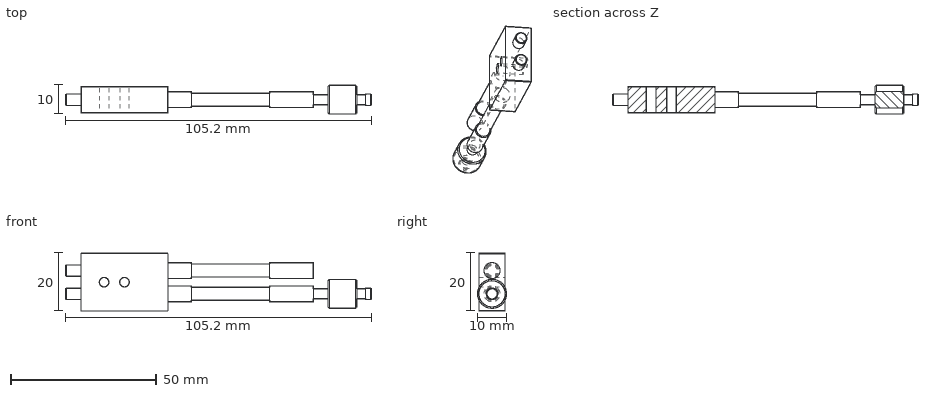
import cadquery as cq


block_length = 30.0
block_width = 9.0
block_height = 20.0
block_edge_chamfer = 0.25
cross_hole_diameter = 3.2
first_hole_x = 8.0
hole_spacing = 7.0
cross_hole_xs = [first_hole_x, first_hole_x + hole_spacing]

line_spacing = 8.0
line_heights = [-line_spacing / 2, line_spacing / 2]

pin_diameter = 4.0
pin_length = 5.25
tip_chamfer = 0.25

sleeve_diameter = 5.5
cable_diameter = 4.6
near_sleeve_length = 8.0
bare_cable_length = 27.0
far_sleeve_length = 15.0
cable_end_x = block_length + near_sleeve_length + bare_cable_length + far_sleeve_length

shaft_diameter = 3.55
collar_diameter = 10.0
collar_length = 10.0
collar_chamfer = 0.5
shaft_to_collar = 5.0
collar_to_head = 3.0
head_diameter = pin_diameter
head_length = 2.0


def rod(start_x, length, diameter, z):
    """Round rod along +X, centred on Y = 0 at height z."""
    return cq.Workplane("YZ", origin=(start_x, 0, z)).circle(diameter / 2).extrude(length)


def make_block():
    """Rectangular block with chamfered Y edges and two holes through its width."""
    body = cq.Workplane("XY").box(block_length, block_width, block_height, centered=(False, True, True))
    body = body.edges("|Y").chamfer(block_edge_chamfer)
    hole_centres = [(x, 0) for x in cross_hole_xs]
    holes = cq.Workplane("XZ").pushPoints(hole_centres).circle(cross_hole_diameter / 2)
    return body.cut(holes.extrude(block_width / 2, both=True))


def make_pin(z):
    """Contact pin standing on the block face, chamfered at its free end."""
    return rod(-pin_length, pin_length, pin_diameter, z).faces("<X").chamfer(tip_chamfer)


def make_cable(z):
    """Cable with a wider sleeve at each end, starting at the block."""
    bare_start_x = block_length + near_sleeve_length
    far_sleeve_x = bare_start_x + bare_cable_length
    cable = rod(block_length, near_sleeve_length, sleeve_diameter, z)
    cable = cable.union(rod(bare_start_x, bare_cable_length, cable_diameter, z))
    return cable.union(rod(far_sleeve_x, far_sleeve_length, sleeve_diameter, z))


def make_plug(z):
    """Plug with a shaft, a chamfered collar and a slightly wider head."""
    collar_x = cable_end_x + shaft_to_collar
    head_x = collar_x + collar_length + collar_to_head
    shaft = rod(cable_end_x, head_x - cable_end_x, shaft_diameter, z)
    collar = rod(collar_x, collar_length, collar_diameter, z).faces("<X or >X").chamfer(collar_chamfer)
    head = rod(head_x, head_length, head_diameter, z).faces(">X").chamfer(tip_chamfer)
    return shaft.union(collar).union(head)


block = make_block()
pins = [make_pin(z) for z in line_heights]
cables = [make_cable(z) for z in line_heights]
plug = make_plug(min(line_heights))

bodies = [block, *pins, *cables, plug]
result = cq.Compound.makeCompound([body.val() for body in bodies])